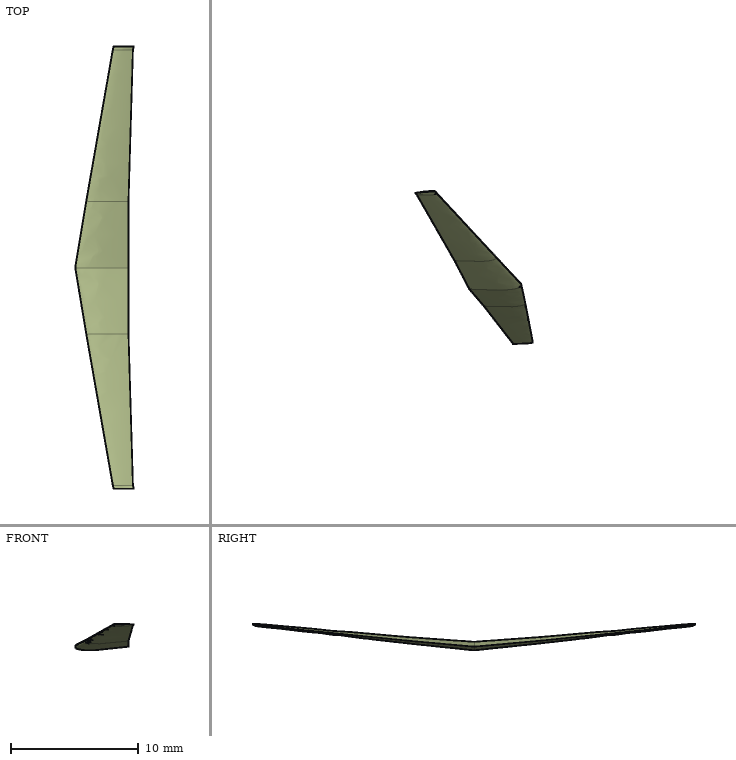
import cadquery as cq
import math

ROOT = dict(y=0, front=0, rear=4.2, height=0.295, thickness=0.7)
KINK = dict(y=5.2, front=0.87, rear=4.2, height=0.75, thickness=0.52)
TIP = dict(y=17.1, front=2.95, rear=4.55, height=1.98, thickness=0.2)
CAP_END = dict(y=17.4, front=3.03, rear=4.63, height=2.05, thickness=0.087)
CAMBER = 0.013
PROFILE_STEPS = 12


def half_thickness(u):
    """Four-digit airfoil thickness to one side, per unit of full thickness, at chord fraction u."""
    return 5 * (0.2969 * math.sqrt(u) - 0.126 * u - 0.3516 * u**2 + 0.2843 * u**3 - 0.1015 * u**4)


def airfoil(station):
    """Closed airfoil wire with a narrow blunt trailing edge, in a plane of constant Y."""
    chord = station["rear"] - station["front"]

    def point(step):
        u = (1 - math.cos(math.pi * step / PROFILE_STEPS)) / 2
        rise = math.copysign(half_thickness(u) * station["thickness"], step)
        rise += 4 * CAMBER * chord * u * (1 - u)
        return cq.Vector(station["front"] + u * chord, station["y"], station["height"] + rise)

    points = [point(step) for step in range(-PROFILE_STEPS, PROFILE_STEPS + 1)]
    skin = cq.Edge.makeSpline(points)
    trailing_edge = cq.Edge.makeLine(points[-1], points[0])
    return cq.Wire.assembleEdges([skin, trailing_edge])


def panel(inner, outer):
    """Straight-tapered wing panel between two stations."""
    return cq.Workplane(cq.Solid.makeLoft([airfoil(inner), airfoil(outer)], True))


half_wing = panel(ROOT, KINK).union(panel(KINK, TIP)).union(panel(TIP, CAP_END))
result = half_wing.union(half_wing.mirror("XZ"))